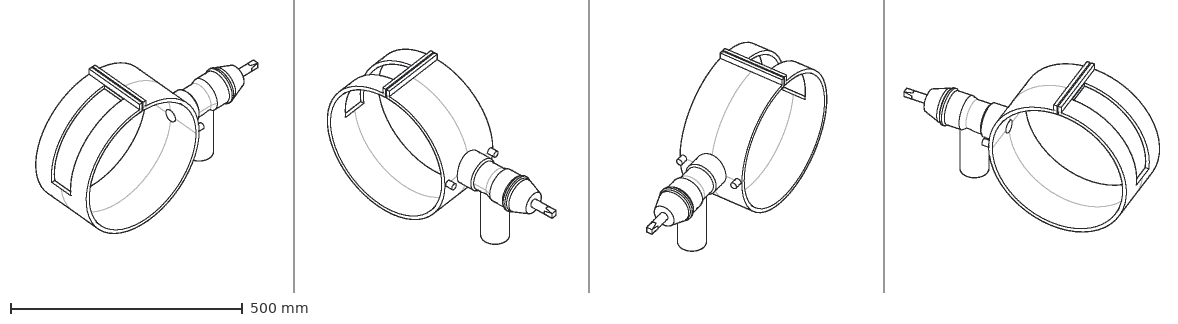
import cadquery as cq

overall_length = 573.5
ring_radius = 166.5
ring_wall = 9.0
ring_width = 160.0
inner_radius = ring_radius - ring_wall

flange_top = 181.0
flange_span = 18.5
split_gap = 3.0

window_width = 60.0
window_sill = -19.0
window_edge = -10.5

collar_radius = 39.0
neck_radius = 34.5
bead_radius = 42.5
cone_tip_radius = 26.0
stem_radius = 10.0

neck_start = 209.0
neck_end = 243.5
collar_end = 205.0
body_start = 258.0
bead_start = 293.5
bead_flat_start = 299.0
bead_flat_end = 303.5
bead_end = 305.5
cone_start = 312.0
cone_end = 349.0
stem_end = overall_length - ring_radius

square_length = 20.0
square_base_side = 18.0
square_tip_side = 14.0

branch_radius = 31.5
branch_y = 240.0
branch_bottom = -152.0

bore_radius = 15.0

pin_radius = 7.5
pin_offset = 70.0
pin_end = 183.5


def cylinder_along_y(radius, start, end, x=0):
    """Cylinder parallel to Y between two Y positions."""
    return cq.Workplane("XZ", origin=(x, start, 0)).circle(radius).extrude(start - end)


def make_band():
    """Cylinder with the outside radius of the ring, plus the two clamping lips as one block."""
    disc = cq.Workplane("YZ").circle(ring_radius).extrude(ring_width / 2, both=True)
    lips = cq.Workplane("XY").box(ring_width, flange_span, flange_top, centered=(True, True, False))
    return disc.union(lips)


def make_valve_body():
    """Turned body from the ring wall to the small end of the cone."""
    root = inner_radius / 2
    profile = [
        (0, root),
        (collar_radius, root),
        (collar_radius, collar_end),
        (neck_radius, neck_start),
        (neck_radius, neck_end),
        (collar_radius, body_start),
        (collar_radius, bead_start),
        (bead_radius, bead_flat_start),
        (bead_radius, bead_flat_end),
        (collar_radius, bead_end),
        (collar_radius, cone_start),
        (cone_tip_radius, cone_end),
        (0, cone_end),
    ]
    return cq.Workplane("XY").polyline(profile).close().revolve(360, (0, 0, 0), (0, 1, 0))


def make_stem():
    """Round stem ending in a tapered square drive."""
    square_start = stem_end - square_length
    shaft = cylinder_along_y(stem_radius, cone_start, square_start)
    tip = cylinder_along_y(stem_radius, square_start, stem_end)
    square = (
        cq.Workplane("XZ", origin=(0, square_start, 0))
        .rect(square_base_side, square_base_side)
        .workplane(offset=-square_length)
        .rect(square_tip_side, square_tip_side)
        .loft(ruled=True)
    )
    return shaft.union(tip.intersect(square))


def make_branch():
    """Outlet pipe hanging from the valve axis."""
    return cq.Workplane("XY", origin=(0, branch_y, 0)).circle(branch_radius).extrude(branch_bottom)


def make_window():
    """Cutter for the opening in the ring opposite the valve."""
    corner = (0, window_edge - ring_radius, window_sill)
    height = flange_top - window_sill
    return cq.Workplane("XY", origin=corner).box(
        window_width, ring_radius, height, centered=(True, False, False)
    )


def make_split():
    """Cutter for the gap between the clamping lips, through the top of the ring."""
    return cq.Workplane("XY").box(ring_width, split_gap, flange_top, centered=(True, True, False))


result = make_band().union(make_valve_body()).union(make_branch()).union(make_stem())
for side in (-1, 1):
    result = result.union(cylinder_along_y(pin_radius, inner_radius, pin_end, side * pin_offset))

result = result.cut(cq.Workplane("YZ").circle(inner_radius).extrude(ring_width / 2, both=True))
result = result.cut(make_split()).cut(make_window())
result = result.cut(cylinder_along_y(bore_radius, 0, branch_y))